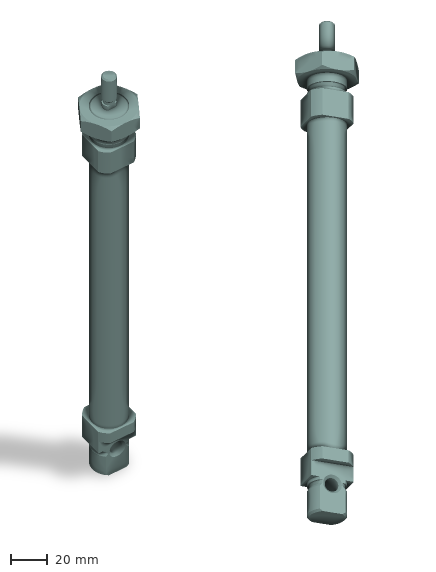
import cadquery as cq
import math

total_height = 292.0
nose_top = 269.0

tube_diameter = 22.0
collar_diameter = 29.2
collar_flats = 24.8

tang_width = 16.0
tang_top = 29.0
tang_chamfer = 1.2
rear_groove_bottom = 15.0
rear_groove_top = 18.5
rear_groove_slope = 1.8
rear_collar_bottom = 20.1
rear_collar_top = 36.2
pivot_height = 17.0
pivot_diameter = 8.0
pivot_countersink = 1.5

front_collar_bottom = 231.8
front_collar_top = 247.5
front_groove_bottom = 250.0
front_groove_top = 253.2
front_groove_slope = 1.0
groove_diameter = 20.0
nose_chamfer = 1.0

rod_diameter = 8.0
rod_seat_depth = 29.2
rod_flats = 5.8
rod_undercut_diameter = 6.5
rod_undercut_bottom = 272.0
thread_bottom = 274.2
thread_diameter = 8.5
thread_tip_chamfer = 1.0
thread_root_taper = 1.5

nut_flats = 32.0
nut_height = 10.8
nut_chamfer_angle = 30.0


def disc(diameter, bottom, top):
    """Round bar on the Z axis between two heights."""
    return cq.Workplane("XY").workplane(offset=bottom).circle(diameter / 2).extrude(top - bottom)


def block(x_size, y_size, bottom, top):
    """Rectangular bar centred on the Z axis between two heights."""
    return cq.Workplane("XY").workplane(offset=bottom).rect(x_size, y_size).extrude(top - bottom)


def collar(bottom, top):
    """Round collar with four wrench flats."""
    return disc(collar_diameter, bottom, top).intersect(block(collar_flats, collar_flats, bottom, top))


def ring_groove(bottom, top, slope):
    """Ring cutter for a groove with a square upper wall and a sloped lower wall."""
    floor_radius = groove_diameter / 2
    outer_radius = tube_diameter / 2
    profile = [
        (outer_radius, bottom),
        (floor_radius, bottom + slope),
        (floor_radius, top),
        (outer_radius, top),
    ]
    return cq.Workplane("XZ").polyline(profile).close().revolve(360, (0, 0), (0, 1))


def pivot_hole():
    """Cross hole along X, countersunk at both faces of the tang."""
    half_width = tang_width / 2
    radius = pivot_diameter / 2
    wide_radius = radius + pivot_countersink
    inner_x = half_width - pivot_countersink
    profile = [
        (-half_width, 0),
        (-half_width, wide_radius),
        (-inner_x, radius),
        (inner_x, radius),
        (half_width, wide_radius),
        (half_width, 0),
    ]
    hole = cq.Workplane("XZ").polyline(profile).close().revolve(360, (0, 0), (1, 0))
    return hole.translate((0, 0, pivot_height))


def make_housing():
    """Cylinder tube with its rear tang, two collars and front nose."""
    body = disc(tube_diameter, 0, nose_top)
    body = body.faces("<Z").chamfer(tang_chamfer)
    body = body.faces(">Z").chamfer(nose_chamfer)
    body = body.union(collar(rear_collar_bottom, rear_collar_top))
    body = body.union(collar(front_collar_bottom, front_collar_top))
    body = body.cut(ring_groove(rear_groove_bottom, rear_groove_top, rear_groove_slope))
    body = body.cut(ring_groove(front_groove_bottom, front_groove_top, front_groove_slope))

    tang_sides = block(2 * collar_diameter, 2 * collar_diameter, 0, tang_top)
    tang_sides = tang_sides.cut(block(tang_width, 2 * collar_diameter, 0, tang_top))
    body = body.cut(tang_sides)
    body = body.cut(pivot_hole())

    return body.cut(disc(rod_diameter, nose_top - rod_seat_depth, nose_top))


def make_rod():
    """Piston rod with wrench flats, an undercut and a plain thread cylinder."""
    seated = disc(rod_diameter, nose_top - rod_seat_depth, nose_top)
    flats = disc(rod_diameter, nose_top, rod_undercut_bottom)
    flats = flats.intersect(block(rod_flats, rod_diameter, nose_top, rod_undercut_bottom))
    undercut = disc(rod_undercut_diameter, rod_undercut_bottom, thread_bottom)
    thread = disc(thread_diameter, thread_bottom, total_height)
    thread = thread.faces(">Z").chamfer(thread_tip_chamfer)
    root_step = (thread_diameter - rod_undercut_diameter) / 2
    thread = thread.faces("<Z").edges().chamfer(thread_root_taper, root_step)
    return seated.union(flats).union(undercut).union(thread)


def make_nut():
    """Hexagon nut with flats facing X and its corners bevelled at both ends."""
    bottom = nose_top - nut_height
    corner_diameter = nut_flats / math.cos(math.pi / 6)
    nut = cq.Workplane("XY").polygon(6, corner_diameter).extrude(nut_height)
    nut = nut.rotate((0, 0, 0), (0, 0, 1), 30).translate((0, 0, bottom))

    bevel_width = (corner_diameter - nut_flats) / 2
    bevel_height = bevel_width * math.tan(math.radians(nut_chamfer_angle))
    envelope = disc(corner_diameter, bottom, nose_top)
    envelope = envelope.faces(">Z").edges().chamfer(bevel_height, bevel_width)
    envelope = envelope.faces("<Z").edges().chamfer(bevel_height, bevel_width)
    nut = nut.intersect(envelope)
    return nut.cut(disc(tube_diameter, bottom, nose_top))


housing = make_housing()
rod = make_rod()
nut = make_nut()

result = cq.Compound.makeCompound([housing.val(), rod.val(), nut.val()])